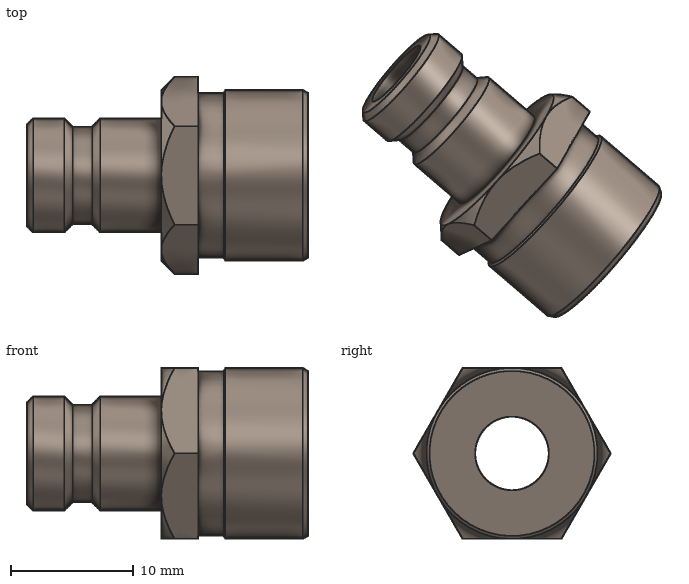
import cadquery as cq
import math

total_length = 23.0
hex_start = 11.0
hex_length = 3.0
hex_end = hex_start + hex_length

plug_radius = 9.35 / 2
tip_chamfer = 0.5
groove_radius = 8.0 / 2
groove_flank_length = plug_radius - groove_radius
groove_start = 3.05
groove_end = 6.0

hex_across_flats = 14.0
hex_across_corners = hex_across_flats / math.cos(math.pi / 6)
hex_chamfer_angle = math.radians(45)

thread_radius = 14.0 / 2
neck_radius = 13.5 / 2
neck_end = 16.1
thread_step = thread_radius - neck_radius
cone_angle = math.radians(30)
thread_start = neck_end + thread_step * math.tan(cone_angle)
thread_end = total_length - thread_step / math.tan(cone_angle)

bore_radius = 6.0 / 2


def revolve_about_x(profile_points):
    """Solid of revolution from (x, radius) points, closed along the X axis."""
    first_x = profile_points[0][0]
    last_x = profile_points[-1][0]
    outline = [(first_x, 0)] + profile_points + [(last_x, 0)]
    return cq.Workplane("XY").polyline(outline).close().revolve(360, (0, 0, 0), (1, 0, 0))


def make_plug():
    """Grooved plug, from the tip to the far face of the hexagon."""
    return revolve_about_x([
        (0, plug_radius - tip_chamfer),
        (tip_chamfer, plug_radius),
        (groove_start, plug_radius),
        (groove_start + groove_flank_length, groove_radius),
        (groove_end - groove_flank_length, groove_radius),
        (groove_end, plug_radius),
        (hex_end, plug_radius),
    ])


def make_hexagon():
    """Hexagon with corners on +Y and -Y, its corners chamfered on the plug side."""
    prism = (
        cq.Workplane("YZ", origin=(hex_start, 0, 0))
        .polygon(6, hex_across_corners)
        .extrude(hex_length)
    )
    corner_radius = hex_across_corners / 2
    face_radius = hex_across_flats / 2
    chamfer_length = (corner_radius - face_radius) / math.tan(hex_chamfer_angle)
    envelope = revolve_about_x([
        (hex_start, face_radius),
        (hex_start + chamfer_length, corner_radius),
        (hex_end, corner_radius),
    ])
    return prism.intersect(envelope)


def make_threaded_end():
    """Relief neck and plain thread-size cylinder, coned down to the neck radius at both ends."""
    return revolve_about_x([
        (hex_start, neck_radius),
        (neck_end, neck_radius),
        (thread_start, thread_radius),
        (thread_end, thread_radius),
        (total_length, neck_radius),
    ])


def make_bore():
    """Straight bore through the whole length."""
    return cq.Workplane("YZ").circle(bore_radius).extrude(total_length)


result = make_plug().union(make_hexagon()).union(make_threaded_end()).cut(make_bore())